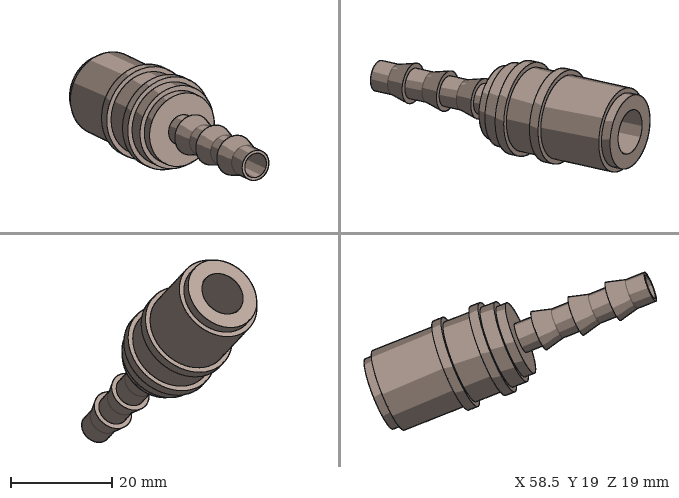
import cadquery as cq

total_length = 58.5
body_length = 30.5

body_diameter = 17.0
end_diameter = 15.0
end_step_length = 2.0

ring_diameter = 19.0
ring_width = 2.0
ring_starts = (15.5, 23.5)

tail_diameter = 6.2
barb_diameter = 8.2
barb_length = 4.0
barb_pitch = 8.0
barb_count = 3
tip_length = 4.0

through_diameter = 5.0
socket_diameter = 9.0
socket_depth = body_length - 2 * end_step_length


def cylinder(start, length, diameter):
    """Solid cylinder along +X beginning at the given X."""
    return cq.Workplane("YZ", origin=(start, 0, 0)).circle(diameter / 2).extrude(length)


def make_body():
    """Stepped body: narrow at both ends, with raised rings."""
    body = cylinder(0, body_length, end_diameter)
    body = body.union(cylinder(end_step_length, body_length - 2 * end_step_length, body_diameter))
    for start in ring_starts:
        body = body.union(cylinder(start, ring_width, ring_diameter))
    return body


def make_barb(start):
    """Cone that is widest at its start and tapers to the tail diameter."""
    profile = [
        (start, 0),
        (start, barb_diameter / 2),
        (start + barb_length, tail_diameter / 2),
        (start + barb_length, 0),
    ]
    return cq.Workplane("XY").polyline(profile).close().revolve(360, (0, 0, 0), (1, 0, 0))


def make_tail():
    """Hose tail with evenly spaced barbs, running out of the body."""
    tail = cylinder(body_length, total_length - body_length, tail_diameter)
    last_barb_start = total_length - tip_length - barb_length
    for index in range(barb_count):
        tail = tail.union(make_barb(last_barb_start - index * barb_pitch))
    return tail


def make_bores():
    """Plug socket from the front face and the bore through the whole part."""
    socket = cylinder(0, socket_depth, socket_diameter)
    return socket.union(cylinder(0, total_length, through_diameter))


result = make_body().union(make_tail()).cut(make_bores())